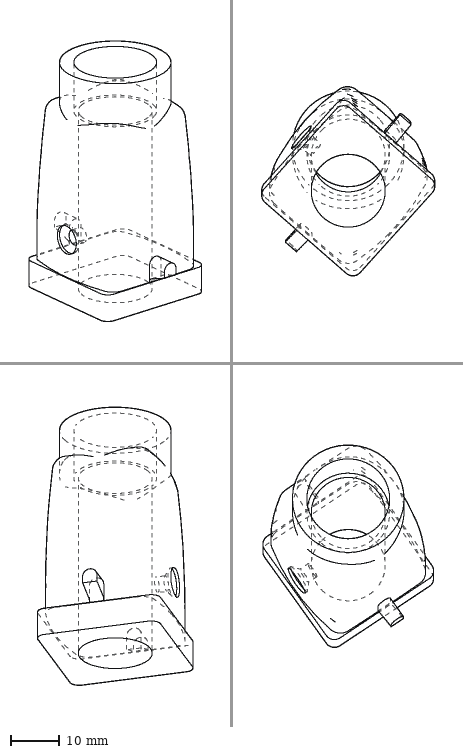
import cadquery as cq
import math

base_width = 26.7
base_height = 6.0
base_corner_radius = 2.05

hood_top = 42.0
hood_corner_radius = 2.95
hood_top_radius = 2.85

side_reach = 13.15
side_bulge_radius = 459.0
side_bend_bottom = 11.3
side_bend_top = 17.5
side_taper_angle = math.radians(3.3)

front_reach = 13.15
front_bulge_radius = 45.9
front_lean_start = 14.45
front_lean_radius = 229.5

neck_radius = 11.65
neck_top = 51.0
bore_radius = 8.6
bore_depth = 10.95
passage_radius = 7.7

sink_height = front_lean_start
sink_radius = 3.1
sink_straight_depth = 0.7
sink_cone_depth = 2.05
pilot_radius = 1.65
pilot_depth = 4.1

peg_span = 36.0
peg_width = 3.1
peg_top = 11.5
peg_tip_bottom = 8.45
peg_root_bottom = 6.8
peg_root_radius = 0.75
peg_embed = 1.55


def bulged_disc(outline, reach, bulge_radius):
    """Spin a wall outline about an upright axis so that the wall at +X bulges outwards."""
    axis_x = reach - bulge_radius
    return (
        outline.lineTo(axis_x, hood_top)
        .lineTo(axis_x, base_height)
        .close()
        .revolve(360, (axis_x, 0), (axis_x, 1))
    )


def side_wall_disc():
    bend_radius = (side_bend_top - side_bend_bottom) / math.sin(side_taper_angle)
    bend_end = side_reach - bend_radius * (1 - math.cos(side_taper_angle))
    top_x = bend_end - (hood_top - side_bend_top) * math.tan(side_taper_angle)
    outline = (
        cq.Workplane("XZ")
        .moveTo(side_reach, base_height)
        .lineTo(side_reach, side_bend_bottom)
        .tangentArcPoint((bend_end, side_bend_top), relative=False)
        .lineTo(top_x, hood_top)
    )
    return bulged_disc(outline, side_reach, side_bulge_radius)


def front_wall_disc():
    rise = hood_top - front_lean_start
    top_x = front_reach - front_lean_radius + math.sqrt(front_lean_radius**2 - rise**2)
    outline = (
        cq.Workplane("XZ")
        .moveTo(front_reach, base_height)
        .lineTo(front_reach, front_lean_start)
        .tangentArcPoint((top_x, hood_top), relative=False)
    )
    return bulged_disc(outline, front_reach, front_bulge_radius)


def make_hood():
    hood = (
        cq.Workplane("XY")
        .workplane(offset=base_height)
        .rect(base_width, base_width)
        .extrude(hood_top - base_height)
    )
    side_disc = side_wall_disc()
    front_disc = front_wall_disc()
    for disc, angle in ((side_disc, 0), (side_disc, 180), (front_disc, 90), (front_disc, -90)):
        hood = hood.intersect(disc.rotate((0, 0, 0), (0, 0, 1), angle))
    hood = hood.edges("not %CIRCLE").fillet(hood_corner_radius)
    return hood.faces(">Z").edges().fillet(hood_top_radius)


def make_base():
    return (
        cq.Workplane("XY")
        .rect(base_width, base_width)
        .extrude(base_height)
        .edges("|Z")
        .fillet(base_corner_radius)
    )


def make_neck():
    return (
        cq.Workplane("XY")
        .workplane(offset=base_height)
        .circle(neck_radius)
        .extrude(neck_top - base_height)
    )


def make_bore():
    passage = cq.Workplane("XY").circle(passage_radius).extrude(neck_top)
    wide_part = (
        cq.Workplane("XY")
        .workplane(offset=neck_top - bore_depth)
        .circle(bore_radius)
        .extrude(bore_depth)
    )
    return passage.union(wide_part)


def make_countersunk_hole():
    outer_y = -base_width / 2
    step_y = sink_straight_depth - front_reach
    cone_end_y = sink_cone_depth - front_reach
    floor_y = pilot_depth - front_reach
    return (
        cq.Workplane("XY")
        .polyline(
            [
                (0, outer_y),
                (sink_radius, outer_y),
                (sink_radius, step_y),
                (pilot_radius, cone_end_y),
                (pilot_radius, floor_y),
                (0, floor_y),
            ]
        )
        .close()
        .revolve(360, (0, 0), (0, 1))
        .translate((0, 0, sink_height))
    )


def make_peg():
    """Peg on the +X wall: round on top, with a sloping underside that curves into the wall."""
    tip_x = peg_span / 2
    buried_x = side_reach - peg_embed
    side_shape = (
        cq.Workplane("XZ")
        .polyline(
            [
                (buried_x, base_height),
                (side_reach, base_height),
                (side_reach, peg_root_bottom),
                (tip_x, peg_tip_bottom),
                (tip_x, peg_top),
                (buried_x, peg_top),
            ]
        )
        .close()
        .extrude(peg_width / 2, both=True)
        .edges(cq.NearestToPointSelector((side_reach, 0, peg_root_bottom)))
        .fillet(peg_root_radius)
    )
    half_width = peg_width / 2
    shoulder = peg_top - half_width
    end_shape = (
        cq.Workplane("YZ")
        .moveTo(-half_width, base_height)
        .lineTo(-half_width, shoulder)
        .threePointArc((0, peg_top), (half_width, shoulder))
        .lineTo(half_width, base_height)
        .close()
        .extrude(tip_x)
    )
    return side_shape.intersect(end_shape)


peg = make_peg()
result = (
    make_base()
    .union(make_hood())
    .union(make_neck())
    .union(peg)
    .union(peg.mirror("YZ"))
    .cut(make_bore())
    .cut(make_countersunk_hole())
)